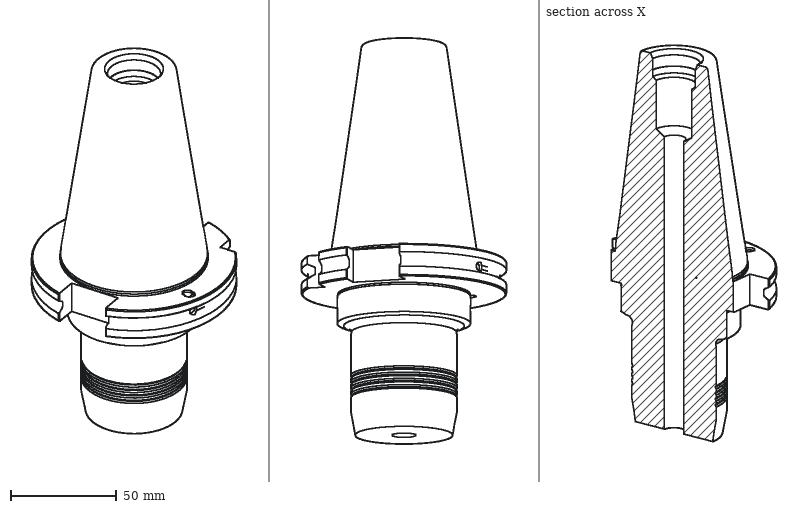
import cadquery as cq
import math

TOTAL_HEIGHT = 188.6

TAPER_RATIO = 7 / 24
TAPER_BASE_RADIUS = 34.9
TAPER_BASE_Z = 87.5
TAPER_LAND_Z = 85.8
TAPER_TOP_RADIUS = TAPER_BASE_RADIUS - (TOTAL_HEIGHT - TAPER_BASE_Z) * TAPER_RATIO / 2
TAPER_TOP_FILLET = 1.9
FOOT_RADIUS = 35.3
FOOT_Z = 84.9

FLANGE_RADIUS = 97.5 / 2
FLANGE_TOP_Z = 83.7
FLANGE_BOTTOM_Z = 68.0
FLANGE_CHAMFER = 0.5
GROOVE_Z = 76.2
GROOVE_WIDTH = 7.0
GROOVE_DEPTH = 3.2
GROOVE_FLOOR_RADIUS = FLANGE_RADIUS - GROOVE_DEPTH
GROOVE_ANGLE = 60.0
GROOVE_FILLET = 1.1
GROOVE_FLOOR_WIDTH = GROOVE_WIDTH - 2 * GROOVE_DEPTH * math.tan(math.radians(GROOVE_ANGLE / 2))

SLOT_WIDTH = 25.8
SLOT_MOUTH_CHAMFER = 0.66
SLOT_FLOOR_BACK = 37.5
SLOT_FLOOR_FRONT = 35.5
NOTCH_CORNER = 29.8

COOLANT_DIRECTIONS = (160.0, -20.0)
COOLANT_RADIUS = 41.9
COOLANT_HOLE_DIAMETER = 5.0
COOLANT_HOLE_SPACING = 1.7
COOLANT_HOLE_DEPTH = 1.1
CROSS_HOLE_DIAMETER = 4.1
CROSS_HOLE_DEPTH = 1.5
DRILL_POINT_ANGLE = 118.0

COLLAR_RADIUS = 31.7
COLLAR_BAND_Z = 67.1
COLLAR_BAND_DEPTH = 0.2
COLLAR_BOTTOM_Z = 54.0
NECK_FILLET_TOP_RADIUS = 28.7
NECK_FILLET_TOP_Z = 52.8
NECK_FILLET_BOTTOM_Z = 49.8
NOSE_RADIUS = 25.3
NECK_RADIUS = 24.9
NECK_BOTTOM_Z = 48.5
NOSE_TAPER_Z = 11.3
NOSE_END_RADIUS = 23.2

GRIP_COUNT = 4
GRIP_TOP_Z = 28.9
GRIP_PITCH = 3.0
GRIP_WIDTH = 1.7
GRIP_DEPTH = 0.5

SCREW_DIAMETER = 14.3
SCREW_ANGLE = 15.0
SCREW_Y = -14.9
SCREW_BOTTOM_X = -22.6
SCREW_BOTTOM_Z = 63.0
SCREW_CUT_LENGTH = 15.0

BORE_MOUTH_RADIUS = 14.0
BORE_RADIUS = 12.6
BORE_CHAMFER_DEPTH = 2.6
BORE_DEPTH = 8.3
LOWER_BORE_RADIUS = 12.5
LOWER_BORE_DEPTH = 11.7
THREAD_RADIUS = 10.5
THREAD_TOP_DEPTH = 13.2
THREAD_DEPTH = 37.7
CHANNEL_RADIUS = 5.7
CHANNEL_TOP_DEPTH = THREAD_DEPTH + (THREAD_RADIUS - CHANNEL_RADIUS) / math.tan(
    math.radians(DRILL_POINT_ANGLE / 2)
)


def drill(diameter, length, tip, direction, x_direction=(0, 0, 1)):
    """Drill shape whose full diameter ends at `tip`, with its cone pointing along `direction`."""
    radius = diameter / 2
    point_length = radius / math.tan(math.radians(DRILL_POINT_ANGLE / 2))
    outline = cq.Workplane("XZ").polyline([(0, -length), (radius, -length), (radius, 0), (0, point_length)])
    shape = outline.close().revolve(360, (0, 0), (0, 1)).val()
    return cq.Workplane(shape.moved(cq.Plane(tip, x_direction, direction).location))


def ring_groove(floor_radius, rim_radius, center_z, floor_width, rim_width):
    """Ring that cuts a V-sided groove, from its floor out to the rim."""
    section = cq.Workplane("XZ").moveTo(floor_radius, center_z - floor_width / 2)
    section = section.lineTo(rim_radius, center_z - rim_width / 2)
    section = section.lineTo(rim_radius, center_z + rim_width / 2)
    section = section.lineTo(floor_radius, center_z + floor_width / 2)
    return section.close().revolve(360, (0, 0), (0, 1))


def turned_body():
    """Taper, flange, collar and nose as one turned shape."""
    fillet_x = NECK_FILLET_TOP_RADIUS - NECK_RADIUS
    fillet_z = NECK_FILLET_TOP_Z - NECK_FILLET_BOTTOM_Z
    fillet_middle = (
        NECK_FILLET_TOP_RADIUS - fillet_x * math.sin(math.pi / 4),
        NECK_FILLET_BOTTOM_Z + fillet_z * math.sin(math.pi / 4),
    )
    outline = (
        cq.Workplane("XZ")
        .lineTo(NOSE_END_RADIUS, 0)
        .lineTo(NOSE_RADIUS, NOSE_TAPER_Z)
        .lineTo(NOSE_RADIUS, NECK_BOTTOM_Z)
        .lineTo(NECK_RADIUS, NECK_FILLET_BOTTOM_Z)
        .threePointArc(fillet_middle, (NECK_FILLET_TOP_RADIUS, NECK_FILLET_TOP_Z))
        .lineTo(COLLAR_RADIUS, COLLAR_BOTTOM_Z)
        .lineTo(COLLAR_RADIUS, COLLAR_BAND_Z)
        .lineTo(COLLAR_RADIUS - COLLAR_BAND_DEPTH, COLLAR_BAND_Z)
        .lineTo(COLLAR_RADIUS - COLLAR_BAND_DEPTH, FLANGE_BOTTOM_Z)
        .lineTo(FLANGE_RADIUS - FLANGE_CHAMFER, FLANGE_BOTTOM_Z)
        .lineTo(FLANGE_RADIUS, FLANGE_BOTTOM_Z + FLANGE_CHAMFER)
        .lineTo(FLANGE_RADIUS, FLANGE_TOP_Z - FLANGE_CHAMFER)
        .lineTo(FLANGE_RADIUS - FLANGE_CHAMFER, FLANGE_TOP_Z)
        .lineTo(FOOT_RADIUS, FLANGE_TOP_Z)
        .lineTo(FOOT_RADIUS, FOOT_Z)
        .lineTo(TAPER_BASE_RADIUS, TAPER_LAND_Z)
        .lineTo(TAPER_BASE_RADIUS, TAPER_BASE_Z)
        .lineTo(TAPER_TOP_RADIUS, TOTAL_HEIGHT)
        .lineTo(0, TOTAL_HEIGHT)
        .close()
    )
    return outline.revolve(360, (0, 0), (0, 1)).faces(">Z").edges().fillet(TAPER_TOP_FILLET)


def axial_bore():
    """Stepped bore from the top face and the channel down through the nose."""
    steps = [
        (BORE_MOUTH_RADIUS, 0),
        (BORE_RADIUS, BORE_CHAMFER_DEPTH),
        (BORE_RADIUS, BORE_DEPTH),
        (LOWER_BORE_RADIUS, BORE_DEPTH),
        (LOWER_BORE_RADIUS, LOWER_BORE_DEPTH),
        (THREAD_RADIUS, THREAD_TOP_DEPTH),
        (THREAD_RADIUS, THREAD_DEPTH),
        (CHANNEL_RADIUS, CHANNEL_TOP_DEPTH),
        (CHANNEL_RADIUS, TOTAL_HEIGHT),
    ]
    points = [(0, TOTAL_HEIGHT)] + [(radius, TOTAL_HEIGHT - depth) for radius, depth in steps] + [(0, 0)]
    return cq.Workplane("XZ").polyline(points).close().revolve(360, (0, 0), (0, 1))


def flange_cut(points):
    """Prism with the given XY outline through the full flange height."""
    prism = cq.Workplane("XY").polyline(points).close().extrude(FLANGE_TOP_Z - FLANGE_BOTTOM_Z)
    return prism.translate((0, 0, FLANGE_BOTTOM_Z))


def drive_slot(floor_distance, side):
    """Drive slot with a chamfered mouth, on the +Y (side 1) or -Y (side -1) edge of the flange."""
    half_width = SLOT_WIDTH / 2
    rim_y = math.sqrt(FLANGE_RADIUS**2 - half_width**2)
    chamfer_y = rim_y - SLOT_MOUTH_CHAMFER
    flared_half_width = half_width + FLANGE_RADIUS - chamfer_y
    half_outline = [
        (half_width, floor_distance * side),
        (half_width, chamfer_y * side),
        (flared_half_width, FLANGE_RADIUS * side),
    ]
    mirrored = [(-x, y) for x, y in reversed(half_outline)]
    return flange_cut(half_outline + mirrored)


def orientation_notch():
    """Square notch in the +X +Y quarter of the flange."""
    inner = NOTCH_CORNER
    outer = FLANGE_RADIUS
    return flange_cut([(inner, inner), (outer, inner), (outer, outer), (inner, outer)])


def coolant_holes(angle):
    """Oblong opening in the flange top and the radial hole in the V groove beside it."""
    along_x = math.cos(math.radians(angle))
    along_y = math.sin(math.radians(angle))
    floor_z = FLANGE_TOP_Z - COOLANT_HOLE_DEPTH
    cross_radius = GROOVE_FLOOR_RADIUS - CROSS_HOLE_DEPTH
    cross_tip = (cross_radius * along_x, cross_radius * along_y, GROOVE_Z)
    holes = drill(CROSS_HOLE_DIAMETER, GROOVE_DEPTH, cross_tip, (-along_x, -along_y, 0))
    for side in (-1, 1):
        radius = COOLANT_RADIUS + side * COOLANT_HOLE_SPACING / 2
        tip = (radius * along_x, radius * along_y, floor_z)
        holes = holes.add(drill(COOLANT_HOLE_DIAMETER, COOLANT_HOLE_DEPTH, tip, (0, 0, -1), (1, 0, 0)))
    return holes.vals()


result = turned_body().cut(axial_bore())

gripper_groove = ring_groove(GROOVE_FLOOR_RADIUS, FLANGE_RADIUS, GROOVE_Z, GROOVE_FLOOR_WIDTH, GROOVE_WIDTH)
floor_corners = gripper_groove.edges("%CIRCLE").edges(cq.selectors.RadiusNthSelector(0))
result = result.cut(floor_corners.fillet(GROOVE_FILLET))
for index in range(GRIP_COUNT):
    grip_z = GRIP_TOP_Z - GRIP_WIDTH / 2 - index * GRIP_PITCH
    result = result.cut(ring_groove(NOSE_RADIUS - GRIP_DEPTH, NOSE_RADIUS, grip_z, 0, GRIP_WIDTH))

result = result.cut(drive_slot(SLOT_FLOOR_BACK, 1))
result = result.cut(drive_slot(SLOT_FLOOR_FRONT, -1))
result = result.cut(orientation_notch())

for direction in COOLANT_DIRECTIONS:
    for hole in coolant_holes(direction):
        result = result.cut(cq.Workplane(hole))

screw_axis = (math.cos(math.radians(SCREW_ANGLE)), 0, math.sin(math.radians(SCREW_ANGLE)))
screw_tip = (SCREW_BOTTOM_X, SCREW_Y, SCREW_BOTTOM_Z)
result = result.cut(drill(SCREW_DIAMETER, SCREW_CUT_LENGTH, screw_tip, screw_axis, (0, 1, 0)))